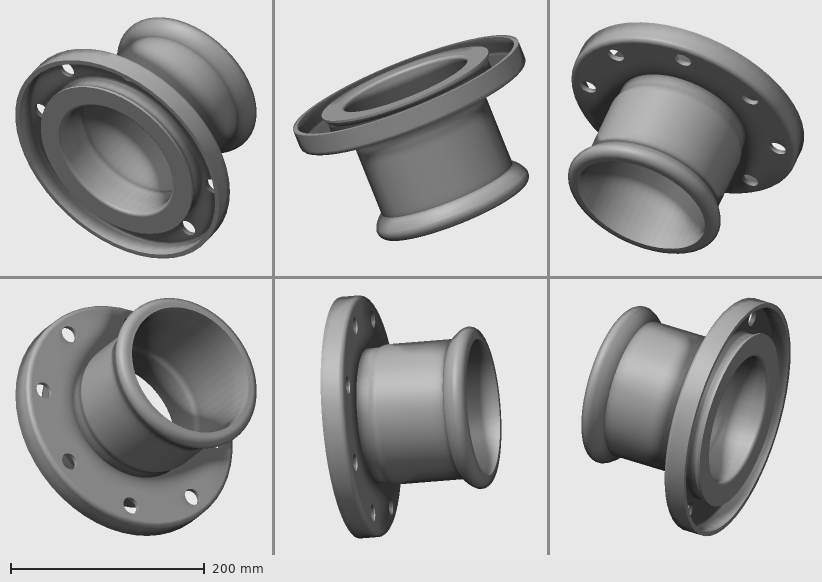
import cadquery as cq
import math

total_length = 143.0
sealing_face_radius = 185 / 2
lip_thickness = 2.5
hub_radius = 178.0 / 2
lip_taper_length = 5.0

flange_radius = 250 / 2
flange_front = 2.0
flange_back = 26.0
flange_wall = 5.0
flange_outer_fillet = 5.0
flange_inner_fillet = 2.5
hub_fillet = 3.0
flange_floor = flange_back - flange_wall
pocket_radius = flange_radius - flange_wall

bolt_hole_diameter = 18.0
bolt_count = 8
bolt_circle_radius = 105.0

neck_radius = 139.8 / 2
neck_bore_radius = 135.8 / 2
socket_radius = 145 / 2
socket_bore_radius = 141.0 / 2
mouth_radius = 142.5 / 2
mouth_fillet = mouth_radius - neck_bore_radius
step_start = 36.5
step_end = 48.0

bead_start = 118.5
bead_outer_radius = 168.0 / 2
bead_round = 8.5
bead_flank_angle = math.radians(-25)
bead_center_y = total_length - bead_round
bead_center_radius = bead_outer_radius - bead_round


def bead_point(angle):
    """Point (radial, axial) on the round of the bead."""
    return (
        bead_center_radius + bead_round * math.cos(angle),
        bead_center_y + bead_round * math.sin(angle),
    )


def flank_middle(flank_top):
    """Halfway point of the bulging flank arc that runs on smoothly from the bead round."""
    run = socket_radius - flank_top[0]
    rise = bead_start - flank_top[1]
    normal = (math.cos(bead_flank_angle), math.sin(bead_flank_angle))
    inward = -(run * normal[0] + rise * normal[1])
    radius = (run**2 + rise**2) / (2 * inward)
    half_sweep = math.asin(math.hypot(run, rise) / (2 * radius))
    angle = bead_flank_angle - half_sweep
    return (
        flank_top[0] + radius * (math.cos(angle) - normal[0]),
        flank_top[1] + radius * (math.sin(angle) - normal[1]),
    )


def add_step(profile, start, end):
    """Join two radii by two tangent arcs meeting halfway."""
    middle = ((start[0] + end[0]) / 2, (start[1] + end[1]) / 2)
    return profile.tangentArcPoint(middle, relative=False).tangentArcPoint(end, relative=False)


def make_tube():
    flank_top = bead_point(bead_flank_angle)
    bead_top = (bead_center_radius, total_length)
    profile = (
        cq.Workplane("XY")
        .moveTo(neck_radius, flange_floor)
        .lineTo(neck_radius, step_start)
    )
    profile = add_step(profile, (neck_radius, step_start), (socket_radius, step_end))
    profile = (
        profile.lineTo(socket_radius, bead_start)
        .threePointArc(flank_middle(flank_top), flank_top)
        .tangentArcPoint(bead_top, relative=False)
        .lineTo(socket_bore_radius, total_length)
        .lineTo(socket_bore_radius, step_end)
    )
    profile = add_step(profile, (socket_bore_radius, step_end), (neck_bore_radius, step_start))
    return (
        profile.lineTo(neck_bore_radius, flange_floor)
        .close()
        .revolve(360, (0, 0, 0), (0, 1, 0))
    )


def make_flange():
    outer_in = flange_radius - flange_outer_fillet
    return (
        cq.Workplane("XY")
        .moveTo(neck_bore_radius, flange_back)
        .lineTo(outer_in, flange_back)
        .tangentArcPoint((flange_radius, flange_back - flange_outer_fillet), relative=False)
        .lineTo(flange_radius, flange_front)
        .lineTo(pocket_radius, flange_front)
        .lineTo(pocket_radius, flange_floor - flange_inner_fillet)
        .tangentArcPoint((pocket_radius - flange_inner_fillet, flange_floor), relative=False)
        .lineTo(hub_radius + hub_fillet, flange_floor)
        .tangentArcPoint((hub_radius, flange_floor - hub_fillet), relative=False)
        .lineTo(hub_radius, lip_thickness + lip_taper_length)
        .lineTo(sealing_face_radius, lip_thickness)
        .lineTo(sealing_face_radius, 0)
        .lineTo(mouth_radius, 0)
        .tangentArcPoint((neck_bore_radius, mouth_fillet), relative=False)
        .close()
        .revolve(360, (0, 0, 0), (0, 1, 0))
    )


def make_bolt_holes():
    return (
        cq.Workplane("XZ")
        .polarArray(bolt_circle_radius, 0, 360, bolt_count)
        .circle(bolt_hole_diameter / 2)
        .extrude(-total_length)
    )


result = make_flange().union(make_tube()).cut(make_bolt_holes())